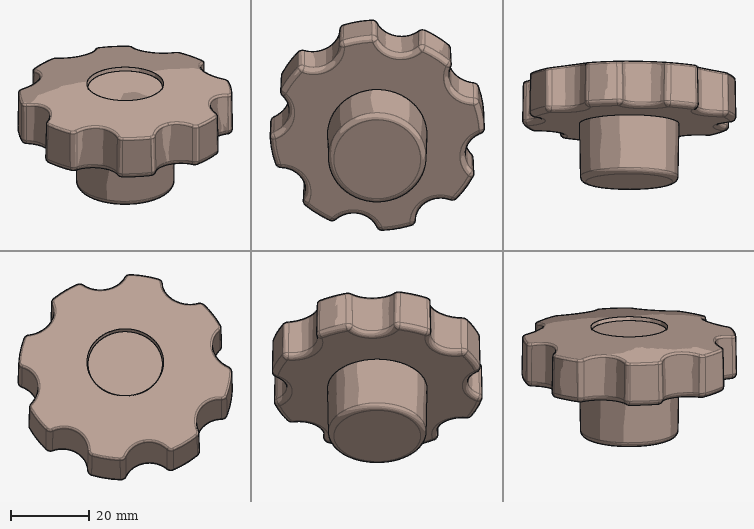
import cadquery as cq
import math

hub_height = 15.0
hub_root_radius = 12.72
hub_edge_fillet = 1.4

total_height = 28.67
grip_base_radius = 27.43
draft_angle = 1.0
dome_radius = 138.0
scallop_count = 8
scallop_base_radius = 6.4
scallop_pitch_radius = 29.55
lobe_corner_fillet = 1.5
grip_base_fillet = 1.4
grip_top_fillet = 0.6

recess_radius = 9.8
recess_floor_radius = 9.5
recess_depth = 0.95
recess_dish = 0.5

draft_slope = math.tan(math.radians(draft_angle))
dome_center_z = total_height - math.sqrt(dome_radius**2 - recess_radius**2)
dome_apex_z = dome_center_z + dome_radius


def dome_z(radius):
    """Height of the dome surface at a distance from the axis."""
    return dome_center_z + math.sqrt(dome_radius**2 - radius**2)


def make_hub():
    end_radius = hub_root_radius - hub_height * draft_slope
    profile = (
        cq.Workplane("XZ")
        .lineTo(end_radius, 0)
        .lineTo(hub_root_radius, hub_height)
        .lineTo(0, hub_height)
        .close()
    )
    hub = profile.revolve(360, (0, 0), (0, 1))
    return hub.faces("<Z").edges().fillet(hub_edge_fillet)


def make_domed_disc():
    side_height = dome_z(grip_base_radius) - hub_height
    rim_radius = grip_base_radius - side_height * draft_slope
    middle_radius = rim_radius / 2
    profile = (
        cq.Workplane("XZ")
        .moveTo(0, hub_height)
        .lineTo(grip_base_radius, hub_height)
        .lineTo(rim_radius, dome_z(rim_radius))
        .threePointArc((middle_radius, dome_z(middle_radius)), (0, dome_apex_z))
        .close()
    )
    return profile.revolve(360, (0, 0), (0, 1))


def make_scallop_cutter(angle):
    """Cone that widens upward by the draft angle, parallel to the knob axis."""
    height = dome_apex_z - hub_height
    cone = cq.Solid.makeCone(
        scallop_base_radius,
        scallop_base_radius + height * draft_slope,
        height,
        cq.Vector(scallop_pitch_radius, 0, hub_height),
    )
    return cone.rotate(cq.Vector(0, 0, 0), cq.Vector(0, 0, 1), angle)


def make_grip():
    grip = make_domed_disc()
    for index in range(scallop_count):
        angle = index * 360 / scallop_count
        grip = grip.cut(cq.Workplane(make_scallop_cutter(angle)))
    reach = 2 * grip_base_radius
    corner_band = cq.selectors.BoxSelector(
        (-reach, -reach, hub_height + grip_base_fillet),
        (reach, reach, dome_z(grip_base_radius) - grip_top_fillet),
    )
    grip = grip.edges(corner_band).fillet(lobe_corner_fillet)
    grip = grip.faces(">Z").edges().fillet(grip_top_fillet)
    return grip.faces("<Z").edges().fillet(grip_base_fillet)


def make_recess_cutter():
    floor_edge_z = total_height - recess_depth
    profile = (
        cq.Workplane("XZ")
        .moveTo(0, floor_edge_z - recess_dish)
        .lineTo(recess_floor_radius, floor_edge_z)
        .lineTo(recess_radius, total_height)
        .lineTo(recess_radius, dome_apex_z)
        .lineTo(0, dome_apex_z)
        .close()
    )
    return profile.revolve(360, (0, 0), (0, 1))


result = make_grip().union(make_hub()).cut(make_recess_cutter())